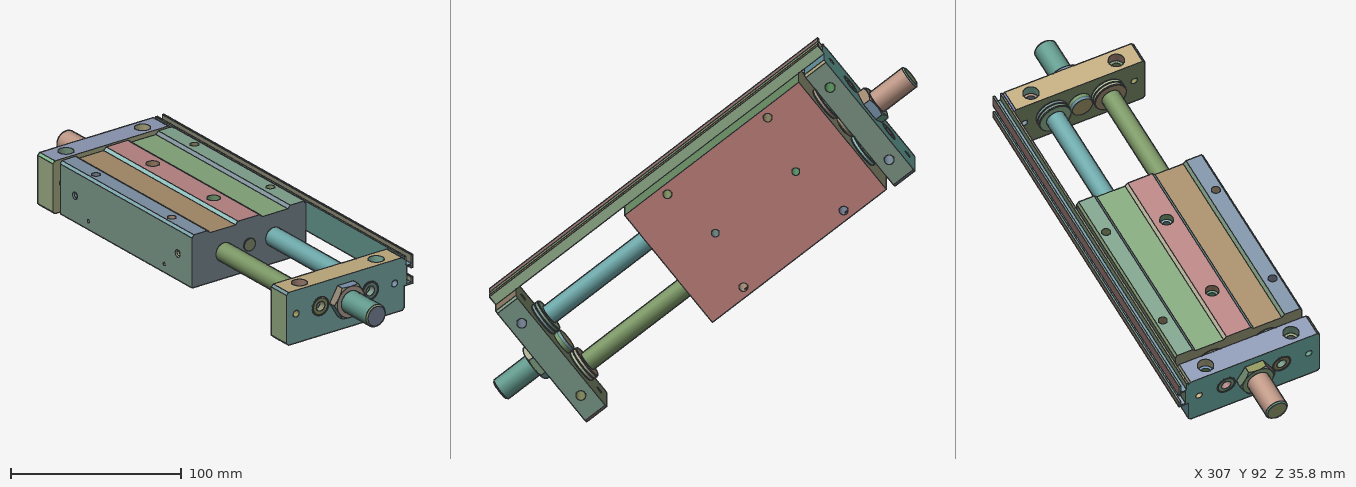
import cadquery as cq
import math

TOTAL_LENGTH = 307.0
BODY_HEIGHT = 34.0
PLATE_DROP = 1.8

PLATE_OUTER_X = 122.8
PLATE_THICKNESS = 15.0
PLATE_WIDTH = 86.0
PLATE_TOP = BODY_HEIGHT / 2 - PLATE_DROP
PLATE_BOTTOM = PLATE_TOP - BODY_HEIGHT
PLATE_CHAMFER = 1.5
PLATE_INNER_X = PLATE_OUTER_X - PLATE_THICKNESS
PLATE_CENTER_X = PLATE_OUTER_X - PLATE_THICKNESS / 2
MOUNT_HOLE_Y = 28.0
MOUNT_HOLE_DIAMETER = 5.8
MOUNT_BORE_DIAMETER = 9.5
MOUNT_BORE_DEPTH = 6.0
PORT_HOLE_Y = 36.0
PORT_HOLE_DIAMETER = 4.3

ROD_DIAMETER = 12.0
ROD_Y = 18.0
ROD_END_CHAMFER = 0.77
ROD_SOCKET_DIAMETER = 6.0
ROD_SOCKET_DEPTH = 4.5
COLLAR_DIAMETER = 21.0
COLLAR_LENGTH = 5.2
COLLAR_GROOVE = 0.3
COLLAR_CHAMFER_LENGTH = 0.5
COLLAR_CHAMFER_DEPTH = 0.3

RAIL_DEPTH = 6.0
RAIL_HEIGHT = 18.7
RAIL_BOTTOM = PLATE_TOP - RAIL_HEIGHT
RAIL_WALL = 1.2
RAIL_WEB = 1.8
RAIL_SHELF_TOP = 9.8
RAIL_CHANNEL_SAG = 0.45
RAIL_UPPER_LIP_BOTTOM = 6.8
RAIL_LOWER_LIP_TOP = 1.0

BLOCK_LENGTH = 130.2
BLOCK_WIDTH = 83.0
BLOCK_HALF_HEIGHT = BODY_HEIGHT / 2
BLOCK_CHAMFER_HEIGHT = 1.8
BLOCK_CHAMFER_WIDTH = 1.2
BLOCK_LEFT_X = COLLAR_LENGTH - PLATE_INNER_X
BLOCK_CENTER_X = BLOCK_LEFT_X + BLOCK_LENGTH / 2
GROOVE_DEPTH = 1.8
GROOVE_INNER_Y = 8.0
GROOVE_OUTER_Y = 30.0
CENTER_HOLE_OFFSET = 30.0
CENTER_HOLE_DIAMETER = 4.5
CENTER_BORE_DIAMETER = 8.0
CENTER_BORE_DEPTH = 4.5
CORNER_HOLE_OFFSET = 37.5
CORNER_HOLE_Y = 36.0
CORNER_HOLE_DIAMETER = 5.2
SIDE_HOLE_OFFSET = 50.7
SIDE_HOLE_DIAMETER = 3.0
SIDE_HOLE_MOUTH_DIAMETER = 4.5
SIDE_HOLE_DEPTH = 9.2
PIN_HOLE_Z = -11.7
PIN_HOLE_DIAMETER = 2.0
PIN_HOLE_DEPTH = 3.0
STOP_PAD_DIAMETER = 8.0
STOP_PAD_HEIGHT = 1.0

SCREW_DIAMETER = 14.0
SCREW_OUTER_CHAMFER = 1.0
SCREW_TIP_LENGTH = COLLAR_LENGTH - STOP_PAD_HEIGHT
SCREW_TIP_TAPER_LENGTH = 1.8
SCREW_TIP_TAPER = 0.45
SCREW_INNER_X = PLATE_INNER_X - SCREW_TIP_LENGTH
SCREW_OUTER_X = TOTAL_LENGTH / 2
NUT_ACROSS_FLATS = 20.0
NUT_LENGTH = 5.5
NUT_CHAMFER_HEIGHT = 1.0

SIDES = (-1, 1)


def x_cylinder(diameter, x_start, length, y=0.0):
    return cq.Workplane("YZ", origin=(x_start, y, 0)).circle(diameter / 2).extrude(length)


def vertical_holes(diameter, z_top, depth, points):
    return cq.Workplane("XY", origin=(0, 0, z_top)).pushPoints(points).circle(diameter / 2).extrude(-depth)


def left_end_plate():
    plate = (
        cq.Workplane("XY", origin=(-PLATE_CENTER_X, 0, PLATE_BOTTOM))
        .box(PLATE_THICKNESS, PLATE_WIDTH, BODY_HEIGHT, centered=(True, True, False))
        .edges("|X")
        .chamfer(PLATE_CHAMFER)
    )
    mount_points = [(-PLATE_CENTER_X, side * MOUNT_HOLE_Y) for side in SIDES]
    plate = plate.cut(vertical_holes(MOUNT_HOLE_DIAMETER, PLATE_TOP, BODY_HEIGHT, mount_points))
    plate = plate.cut(vertical_holes(MOUNT_BORE_DIAMETER, PLATE_TOP, MOUNT_BORE_DEPTH, mount_points))
    plate = plate.cut(x_cylinder(SCREW_DIAMETER, -PLATE_OUTER_X, PLATE_THICKNESS))
    for side in SIDES:
        plate = plate.cut(x_cylinder(ROD_DIAMETER, -PLATE_OUTER_X, PLATE_THICKNESS, side * ROD_Y))
        port = x_cylinder(PORT_HOLE_DIAMETER, -PLATE_OUTER_X, PLATE_THICKNESS, side * PORT_HOLE_Y)
        plate = plate.cut(port)
    return plate


def left_collar(y):
    """Bumper collar with chamfered ends and a V-groove around its middle."""
    rim = COLLAR_DIAMETER / 2
    middle = COLLAR_LENGTH / 2
    half_profile = [
        (0, 0),
        (0, rim - COLLAR_CHAMFER_DEPTH),
        (COLLAR_CHAMFER_LENGTH, rim),
        (middle - COLLAR_GROOVE, rim),
        (middle, rim - COLLAR_GROOVE),
        (middle + COLLAR_GROOVE, rim),
        (COLLAR_LENGTH - COLLAR_CHAMFER_LENGTH, rim),
        (COLLAR_LENGTH, rim - COLLAR_CHAMFER_DEPTH),
        (COLLAR_LENGTH, 0),
    ]
    section = cq.Workplane("XY", origin=(-PLATE_INNER_X, y, 0)).polyline(half_profile).close()
    return section.revolve(360, (0, 0, 0), (1, 0, 0))


def guide_rod(y):
    rod = x_cylinder(ROD_DIAMETER, -PLATE_OUTER_X, 2 * PLATE_OUTER_X, y)
    rod = rod.faces("<X or >X").chamfer(ROD_END_CHAMFER)
    for x_start in (-PLATE_OUTER_X, PLATE_OUTER_X - ROD_SOCKET_DEPTH):
        rod = rod.cut(x_cylinder(ROD_SOCKET_DIAMETER, x_start, ROD_SOCKET_DEPTH, y))
    return rod


def sensor_rail():
    back = PLATE_WIDTH / 2
    front = back + RAIL_DEPTH
    shelf_bottom = RAIL_SHELF_TOP - RAIL_WALL
    outline_to_channel = [
        (back, RAIL_BOTTOM),
        (front, RAIL_BOTTOM),
        (front, RAIL_LOWER_LIP_TOP),
        (front - RAIL_WALL, RAIL_LOWER_LIP_TOP),
        (front - RAIL_WALL, RAIL_BOTTOM + RAIL_WALL),
        (back + RAIL_WEB, RAIL_BOTTOM + RAIL_WALL),
        (back + RAIL_WEB, shelf_bottom),
        (front - RAIL_WALL, shelf_bottom),
        (front - RAIL_WALL, RAIL_UPPER_LIP_BOTTOM),
        (front, RAIL_UPPER_LIP_BOTTOM),
        (front, PLATE_TOP),
        (front - RAIL_WALL, PLATE_TOP),
        (front - RAIL_WALL, RAIL_SHELF_TOP),
    ]
    floor_middle = (back + RAIL_DEPTH / 2, RAIL_SHELF_TOP - RAIL_CHANNEL_SAG)
    floor_end = (back + RAIL_WALL, RAIL_SHELF_TOP)
    section = (
        cq.Workplane("YZ", origin=(-PLATE_OUTER_X, 0, 0))
        .polyline(outline_to_channel)
        .threePointArc(floor_middle, floor_end)
        .lineTo(back + RAIL_WALL, PLATE_TOP)
        .lineTo(back, PLATE_TOP)
        .close()
    )
    return section.extrude(2 * PLATE_OUTER_X)


def make_frame():
    plate = left_end_plate()
    for side in SIDES:
        plate = plate.union(left_collar(side * ROD_Y))
    frame = plate.union(plate.mirror("YZ")).union(sensor_rail())
    for side in SIDES:
        frame = frame.union(guide_rod(side * ROD_Y))
    return frame


def block_blank():
    """Plain block with its two long top edges chamfered."""
    half_width = BLOCK_WIDTH / 2
    top = BLOCK_HALF_HEIGHT
    profile = [
        (-half_width, -top),
        (half_width, -top),
        (half_width, top - BLOCK_CHAMFER_HEIGHT),
        (half_width - BLOCK_CHAMFER_WIDTH, top),
        (BLOCK_CHAMFER_WIDTH - half_width, top),
        (-half_width, top - BLOCK_CHAMFER_HEIGHT),
    ]
    return cq.Workplane("YZ", origin=(BLOCK_LEFT_X, 0, 0)).polyline(profile).close().extrude(BLOCK_LENGTH)


def top_groove(side):
    top = BLOCK_HALF_HEIGHT
    profile = [
        (side * GROOVE_INNER_Y, top),
        (side * (GROOVE_INNER_Y + GROOVE_DEPTH), top - GROOVE_DEPTH),
        (side * (GROOVE_OUTER_Y - GROOVE_DEPTH), top - GROOVE_DEPTH),
        (side * GROOVE_OUTER_Y, top),
    ]
    return cq.Workplane("YZ", origin=(BLOCK_LEFT_X, 0, 0)).polyline(profile).close().extrude(BLOCK_LENGTH)


def side_holes(diameter, depth, offset, z):
    """Blind holes into the front face of the block, at both offsets from its middle."""
    plane = cq.Workplane("XZ", origin=(BLOCK_CENTER_X, -BLOCK_WIDTH / 2, z))
    return plane.pushPoints([(side * offset, 0) for side in SIDES]).circle(diameter / 2).extrude(-depth)


def side_hole_mouth(x):
    """Cone with 45 degree walls that widens a side hole at the front face."""
    mouth_radius = SIDE_HOLE_MOUTH_DIAMETER / 2
    hole_radius = SIDE_HOLE_DIAMETER / 2
    depth = mouth_radius - hole_radius
    front_point = cq.Vector(x, -BLOCK_WIDTH / 2, 0)
    return cq.Solid.makeCone(mouth_radius, hole_radius, depth, front_point, cq.Vector(0, 1, 0))


def make_slide_block():
    block = block_blank()
    for side in SIDES:
        block = block.cut(top_groove(side))
        block = block.cut(x_cylinder(ROD_DIAMETER, BLOCK_LEFT_X, BLOCK_LENGTH, side * ROD_Y))

    top = BLOCK_HALF_HEIGHT
    center_points = [(BLOCK_CENTER_X + side * CENTER_HOLE_OFFSET, 0) for side in SIDES]
    block = block.cut(vertical_holes(CENTER_HOLE_DIAMETER, top, BODY_HEIGHT, center_points))
    block = block.cut(vertical_holes(CENTER_BORE_DIAMETER, top, CENTER_BORE_DEPTH, center_points))
    corner_points = [
        (BLOCK_CENTER_X + x_side * CORNER_HOLE_OFFSET, y_side * CORNER_HOLE_Y)
        for x_side in SIDES
        for y_side in SIDES
    ]
    block = block.cut(vertical_holes(CORNER_HOLE_DIAMETER, top, BODY_HEIGHT, corner_points))

    block = block.cut(side_holes(SIDE_HOLE_DIAMETER, SIDE_HOLE_DEPTH, SIDE_HOLE_OFFSET, 0))
    for side in SIDES:
        block = block.cut(cq.Workplane(side_hole_mouth(BLOCK_CENTER_X + side * SIDE_HOLE_OFFSET)))
    block = block.cut(side_holes(PIN_HOLE_DIAMETER, PIN_HOLE_DEPTH, CORNER_HOLE_OFFSET, PIN_HOLE_Z))

    for x_start in (BLOCK_LEFT_X - STOP_PAD_HEIGHT, BLOCK_LEFT_X + BLOCK_LENGTH):
        block = block.union(x_cylinder(STOP_PAD_DIAMETER, x_start, STOP_PAD_HEIGHT))
    return block


def lock_nut():
    """Hexagon nut on the right plate, its outer corners turned down to a cone."""
    corner_radius = NUT_ACROSS_FLATS / math.sqrt(3)
    outer_face = cq.Workplane("YZ", origin=(PLATE_OUTER_X, 0, 0))
    hexagon = outer_face.polygon(6, 2 * corner_radius).extrude(NUT_LENGTH)
    chamfer_width = corner_radius - NUT_ACROSS_FLATS / 2
    turned = (
        x_cylinder(2 * corner_radius, PLATE_OUTER_X, NUT_LENGTH)
        .faces(">X")
        .chamfer(NUT_CHAMFER_HEIGHT, chamfer_width)
    )
    return hexagon.intersect(turned)


def right_stop_screw():
    radius = SCREW_DIAMETER / 2
    half_profile = [
        (SCREW_INNER_X, 0),
        (SCREW_INNER_X, radius - SCREW_TIP_TAPER),
        (SCREW_INNER_X + SCREW_TIP_TAPER_LENGTH, radius),
        (SCREW_OUTER_X - SCREW_OUTER_CHAMFER, radius),
        (SCREW_OUTER_X, radius - SCREW_OUTER_CHAMFER),
        (SCREW_OUTER_X, 0),
    ]
    shank = cq.Workplane("XY").polyline(half_profile).close().revolve(360, (0, 0, 0), (1, 0, 0))
    return shank.union(lock_nut())


frame = make_frame()
slide_block = make_slide_block()
stop_screws = [right_stop_screw().rotate((0, 0, 0), (0, 0, 1), angle) for angle in (0, 180)]

result = cq.Compound.makeCompound([frame.val(), slide_block.val(), *[screw.val() for screw in stop_screws]])